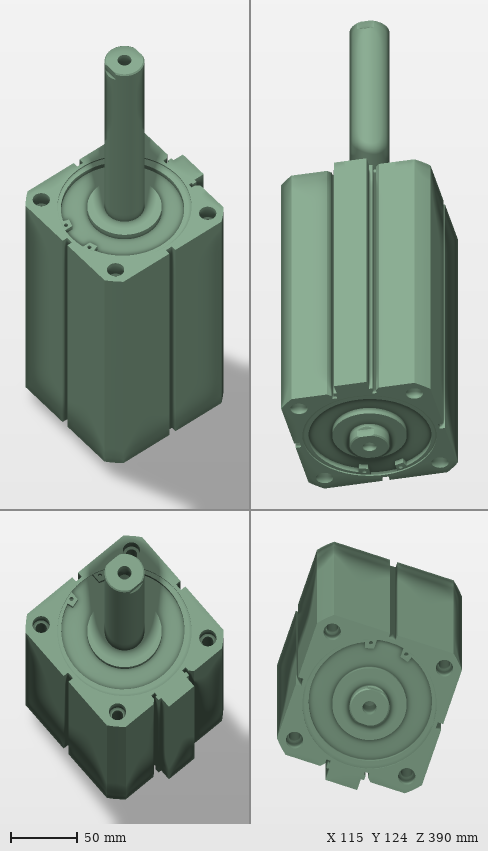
import cadquery as cq
import math


housing_width = 115.0
housing_height = 210.0
half_width = housing_width / 2
corner_radius = 74.5
bore_radius = 50.5

slot_width = 5.7
slot_depth = 4.3

channel_half_width = 17.0
channel_floor_y = 51.2
channel_flare = 3.0
rail_neck_half_width = 13.5
rail_flange_half_width = 15.0
rail_flange_bottom_y = 54.0
rail_head_half_width = 12.5
rail_top_y = 66.5

mount_pitch = 89.0
mount_hole_diameter = 8.6
mount_counterbore_diameter = 13.0
mount_counterbore_depth = 12.0

groove_radius = 52.8
lip_height = 1.2
ring_thickness = 4.0
ring_inner_radius = 46.4
ring_inner_offset = 1.9
ring_gap = 21.0
ear_hole_x = 14.0
ear_hole_y = -45.2
ear_hole_diameter = 3.2
ear_inner_radius = 43.2
ear_width = 9.0

cover_recess = lip_height + ring_thickness
cover_thickness = 20.0
hub_radius = 28.0
hub_height = cover_recess

rod_diameter = 30.0
rod_length = 390.0
rod_bottom_z = -10.5
rod_chamfer = 1.0
rod_hole_diameter = 10.5
rod_hole_depth = 25.0
drill_point_angle = 118.0
flat_spacing = 27.0
flat_length = 6.5

mid_z = housing_height / 2


def mirrored_to_bottom(body):
    """Reflect a body at the top end of the housing to its bottom end."""
    return body.mirror("XY", (0, 0, mid_z))


def disc(radius, bottom, height):
    return cq.Workplane("XY", origin=(0, 0, bottom)).circle(radius).extrude(height)


def box_between(x_range, y_range, bottom, height):
    (x0, x1), (y0, y1) = x_range, y_range
    return cq.Workplane("XY", origin=(x0, y0, bottom)).box(x1 - x0, y1 - y0, height, centered=False)


def full_height_box(half_span, y_low, y_high):
    """Box centred on X = 0 that runs the whole height of the housing."""
    return box_between((-half_span, half_span), (y_low, y_high), 0, housing_height)


def make_channel_cutter():
    flare_bottom_y = half_width - channel_flare
    flare_half_width = channel_half_width + channel_flare
    right_side = [
        (channel_half_width, channel_floor_y),
        (channel_half_width, flare_bottom_y),
        (flare_half_width, half_width),
    ]
    left_side = [(-x, y) for x, y in reversed(right_side)]
    return cq.Workplane("XY").polyline(right_side + left_side).close().extrude(housing_height)


def make_rail():
    neck = full_height_box(rail_neck_half_width, channel_floor_y, half_width)
    flange = full_height_box(rail_flange_half_width, rail_flange_bottom_y, half_width)
    head = full_height_box(rail_head_half_width, half_width, rail_top_y)
    return neck.union(flange).union(head)


def make_housing():
    square = full_height_box(half_width, -half_width, half_width)
    body = square.intersect(disc(corner_radius, 0, housing_height))
    body = body.cut(make_channel_cutter()).union(make_rail())

    slot = full_height_box(slot_width / 2, -half_width, -half_width + slot_depth)
    for angle in (-90, 0, 90):
        body = body.cut(slot.rotate((0, 0, 0), (0, 0, 1), angle))

    body = body.cut(disc(bore_radius, 0, housing_height))
    groove = disc(groove_radius, housing_height - cover_recess, ring_thickness)
    body = body.cut(groove).cut(mirrored_to_bottom(groove))

    hole_grid = cq.Workplane("XY").rect(mount_pitch, mount_pitch, forConstruction=True).vertices()
    holes = hole_grid.circle(mount_hole_diameter / 2).extrude(housing_height)
    counterbores = hole_grid.circle(mount_counterbore_diameter / 2).extrude(mount_counterbore_depth)
    return body.cut(holes).cut(counterbores).cut(mirrored_to_bottom(counterbores))


def make_cover():
    """Cover at the top end, with a central hub around the rod."""
    top = housing_height - cover_recess
    plate = disc(bore_radius, top - cover_thickness, cover_thickness)
    cover = plate.union(disc(hub_radius, top, hub_height))
    return cover.cut(disc(rod_diameter / 2, top - cover_thickness, cover_thickness + hub_height))


def make_retaining_ring():
    """Tapered internal retaining ring at the top end, with two drilled ears beside its -Y gap."""
    bottom = housing_height - cover_recess
    blank = disc(groove_radius, bottom, ring_thickness)
    opening = disc(ring_inner_radius, bottom, ring_thickness).translate((0, -ring_inner_offset, 0))
    ring = blank.cut(opening)

    ear_angle = math.degrees(math.atan2(ear_hole_x, -ear_hole_y))
    ear_blank = box_between(
        (-ear_width / 2, ear_width / 2), (-groove_radius, -ear_inner_radius), bottom, ring_thickness
    ).intersect(blank)
    for side in (-1, 1):
        ring = ring.union(ear_blank.rotate((0, 0, 0), (0, 0, 1), side * ear_angle))

    gap = box_between((-ring_gap / 2, ring_gap / 2), (-groove_radius, 0), bottom, ring_thickness)
    ring = ring.cut(gap)
    for side in (-1, 1):
        ear_hole = disc(ear_hole_diameter / 2, bottom, ring_thickness)
        ring = ring.cut(ear_hole.translate((side * ear_hole_x, ear_hole_y, 0)))
    return ring


def make_flat_cutter(end_z, inward):
    """Wrench-flat cutter on the -Y side of a rod end, with a 45 degree run-out."""
    rod_radius = rod_diameter / 2
    flat_depth = rod_radius - flat_spacing / 2
    flat_end_z = end_z + inward * flat_length
    outline = [
        (-flat_spacing / 2, end_z),
        (-flat_spacing / 2, flat_end_z),
        (-rod_radius, flat_end_z + inward * flat_depth),
        (-rod_radius, end_z),
    ]
    profile = cq.Workplane("YZ").polyline(outline).close()
    return profile.extrude(rod_radius, both=True)


def make_rod_hole_cutter(end_z, inward):
    """Axial hole in a rod end, with a conical drill point at its bottom."""
    radius = rod_hole_diameter / 2
    hole_bottom_z = end_z + inward * rod_hole_depth
    point_height = radius / math.tan(math.radians(drill_point_angle / 2))
    outline = [
        (0, end_z),
        (radius, end_z),
        (radius, hole_bottom_z),
        (0, hole_bottom_z + inward * point_height),
    ]
    return cq.Workplane("XZ").polyline(outline).close().revolve(360, (0, 0, 0), (0, 1, 0))


def make_rod():
    rod = disc(rod_diameter / 2, rod_bottom_z, rod_length).edges().chamfer(rod_chamfer)
    rod_top_z = rod_bottom_z + rod_length
    for end_z, inward in ((rod_bottom_z, 1), (rod_top_z, -1)):
        flat_cutter = make_flat_cutter(end_z, inward)
        rod = rod.cut(flat_cutter).cut(flat_cutter.mirror("XZ"))
        rod = rod.cut(make_rod_hole_cutter(end_z, inward))
    return rod


housing = make_housing()
top_cover = make_cover()
bottom_cover = mirrored_to_bottom(top_cover)
top_ring = make_retaining_ring()
bottom_ring = mirrored_to_bottom(top_ring)
rod = make_rod()

bodies = [housing, top_cover, bottom_cover, top_ring, bottom_ring, rod]
result = cq.Compound.makeCompound([body.val() for body in bodies])